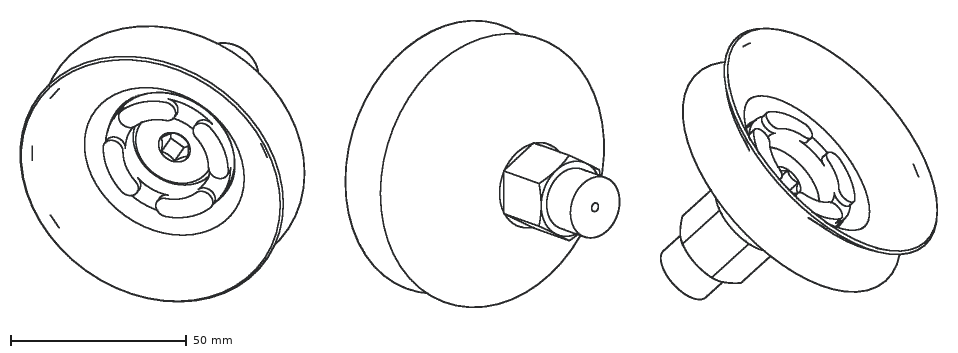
import cadquery as cq
import math

TOTAL_LENGTH = 65.0

LIP_RADIUS = 40.0
LIP_EDGE_HEIGHT = 0.8
LIP_FACE_RADIUS = 39.4
LIP_BEVEL_TOP = (37.5, 3.1)
NECK_START = (27.0, 9.7)
NECK_MIDDLE = (26.5, 11.1)
NECK_END = (27.4, 12.4)
BULGE_START = (38.1, 15.1)
BULGE_MIDDLE = (LIP_RADIUS, 18.2)
BULGE_END = (38.2, 20.7)
FLARE_START = (15.4, 31.4)
FLARE_MIDDLE = (13.4, 33.0)
COLLAR_RADIUS = 25.0 / 2
FLARE_END_HEIGHT = 35.9
COLLAR_TOP = 36.9

LIP_INNER_EDGE = (37.0, 2.6)
FOLD_START = (25.8, 8.8)
FOLD_MIDDLE = (24.5, 11.3)
FOLD_END = (27.2, 14.2)
CAVITY_RADIUS = 35.4
FLOOR_HEIGHT = 16.8

GAP_OUTER_RADIUS = 38.8 / 2
GAP_DEPTH = 0.8
RING_RADIUS = 38.0 / 2
RECESS_RADIUS = 26.0 / 2
RECESS_FLOOR_RADIUS = 11.8
RECESS_FLOOR_HEIGHT = 19.6
RECESS_BEVEL_DEPTH = RECESS_RADIUS - RECESS_FLOOR_RADIUS
PAD_FACE_HEIGHT = 12.4
PAD_HEIGHT = 2.0
PAD_COUNT = 4
PAD_ANGLE = 45.0
CUTTER_OVERRUN = 0.8

HEX_FLATS = 22.0
HEX_TOP = 54.1
HEX_CHAMFER_HEIGHT = 1.0
SHANK_RADIUS = 18.0 / 2

SOCKET_FLATS = 8.0
SOCKET_DEPTH = 8.0
SOCKET_MOUTH_RADIUS = 4.8
HOLE_DIAMETER = 2.5


def plane_at(height):
    """Plane at the given Y, with local axes Z and X and its normal along +Y."""
    return cq.Workplane(cq.Plane(origin=(0, height, 0), xDir=(0, 0, 1), normal=(0, 1, 0)))


def revolve_about_axis(outline):
    return outline.close().revolve(360, (0, 0, 0), (0, 1, 0))


def hex_prism(across_flats, start, end):
    corner_diameter = across_flats / math.cos(math.pi / 6)
    return plane_at(start).polygon(6, corner_diameter).extrude(end - start)


def make_cup():
    outline = (
        cq.Workplane("XY")
        .moveTo(LIP_FACE_RADIUS, 0)
        .lineTo(LIP_RADIUS, LIP_EDGE_HEIGHT)
        .lineTo(*LIP_BEVEL_TOP)
        .lineTo(*NECK_START)
        .threePointArc(NECK_MIDDLE, NECK_END)
        .lineTo(*BULGE_START)
        .threePointArc(BULGE_MIDDLE, BULGE_END)
        .lineTo(*FLARE_START)
        .threePointArc(FLARE_MIDDLE, (COLLAR_RADIUS, FLARE_END_HEIGHT))
        .lineTo(COLLAR_RADIUS, COLLAR_TOP)
        .lineTo(0, COLLAR_TOP)
        .lineTo(0, RECESS_FLOOR_HEIGHT)
        .lineTo(RECESS_FLOOR_RADIUS, RECESS_FLOOR_HEIGHT)
        .lineTo(RECESS_RADIUS, RECESS_FLOOR_HEIGHT + RECESS_BEVEL_DEPTH)
        .lineTo(RECESS_RADIUS, PAD_FACE_HEIGHT)
        .lineTo(RING_RADIUS, PAD_FACE_HEIGHT)
        .lineTo(RING_RADIUS, FLOOR_HEIGHT + GAP_DEPTH)
        .lineTo(GAP_OUTER_RADIUS, FLOOR_HEIGHT + GAP_DEPTH)
        .lineTo(GAP_OUTER_RADIUS, FLOOR_HEIGHT)
        .lineTo(CAVITY_RADIUS, FLOOR_HEIGHT)
        .lineTo(*FOLD_END)
        .threePointArc(FOLD_MIDDLE, FOLD_START)
        .lineTo(*LIP_INNER_EDGE)
    )
    return revolve_about_axis(outline)


def make_pad_gap(start_angle):
    """Cutter for the space between two pads, leaving the pads with round ends."""
    middle_radius = (RING_RADIUS + RECESS_RADIUS) / 2
    end_angle = start_angle + 360 / PAD_COUNT - PAD_ANGLE
    inner_radius = RECESS_RADIUS - CUTTER_OVERRUN
    outer_radius = RING_RADIUS + CUTTER_OVERRUN

    def point(radius, angle):
        turn = math.radians(angle)
        return (radius * math.cos(turn), radius * math.sin(turn))

    cap_angle = math.degrees(2 * math.asin((RING_RADIUS - RECESS_RADIUS) / 4 / middle_radius))
    middle_angle = (start_angle + end_angle) / 2
    return (
        plane_at(PAD_FACE_HEIGHT)
        .moveTo(*point(inner_radius, start_angle))
        .lineTo(*point(RECESS_RADIUS, start_angle))
        .threePointArc(point(middle_radius, start_angle + cap_angle), point(RING_RADIUS, start_angle))
        .lineTo(*point(outer_radius, start_angle))
        .threePointArc(point(outer_radius, middle_angle), point(outer_radius, end_angle))
        .lineTo(*point(RING_RADIUS, end_angle))
        .threePointArc(point(middle_radius, end_angle - cap_angle), point(RECESS_RADIUS, end_angle))
        .lineTo(*point(inner_radius, end_angle))
        .threePointArc(point(inner_radius, middle_angle), point(inner_radius, start_angle))
        .close()
        .extrude(PAD_HEIGHT)
    )


def make_fitting():
    """Hexagon with a conically chamfered end, followed by a plain shank."""
    corner_radius = HEX_FLATS / 2 / math.cos(math.pi / 6)
    chamfer_cone = revolve_about_axis(
        cq.Workplane("XY")
        .moveTo(0, COLLAR_TOP)
        .lineTo(corner_radius, COLLAR_TOP)
        .lineTo(corner_radius, HEX_TOP - HEX_CHAMFER_HEIGHT)
        .lineTo(HEX_FLATS / 2, HEX_TOP)
        .lineTo(0, HEX_TOP)
    )
    hexagon = hex_prism(HEX_FLATS, COLLAR_TOP, HEX_TOP).intersect(chamfer_cone)
    shank = plane_at(HEX_TOP).circle(SHANK_RADIUS).extrude(TOTAL_LENGTH - HEX_TOP)
    return hexagon.union(shank)


def make_socket():
    """Hexagonal socket with a 45 degree countersunk mouth."""
    hexagon = hex_prism(SOCKET_FLATS, RECESS_FLOOR_HEIGHT, RECESS_FLOOR_HEIGHT + SOCKET_DEPTH)
    countersink = revolve_about_axis(
        cq.Workplane("XY")
        .moveTo(0, RECESS_FLOOR_HEIGHT)
        .lineTo(SOCKET_MOUTH_RADIUS, RECESS_FLOOR_HEIGHT)
        .lineTo(0, RECESS_FLOOR_HEIGHT + SOCKET_MOUTH_RADIUS)
    )
    return hexagon.union(countersink)


result = make_cup().union(make_fitting())
for index in range(PAD_COUNT):
    result = result.cut(make_pad_gap(index * 360 / PAD_COUNT))
through_hole = plane_at(0).circle(HOLE_DIAMETER / 2).extrude(TOTAL_LENGTH)
result = result.cut(make_socket()).cut(through_hole)